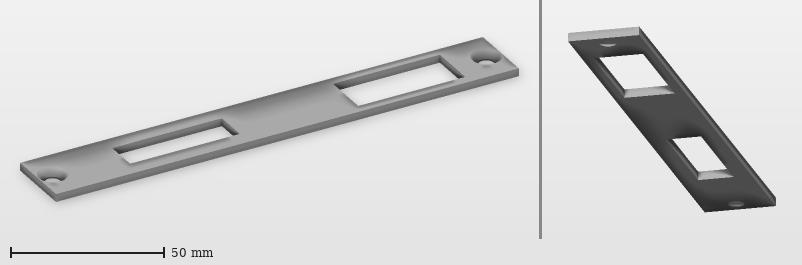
import cadquery as cq

plate_width = 24.0
plate_length = 173.0
plate_thickness = 3.0

upper_window_width = 17.0
upper_window_length = 40.0
upper_window_y = 48.5
lower_window_width = 12.0
lower_window_length = 41.0
lower_window_y = -35.0

screw_hole_diameter = 5.5
countersink_diameter = 10.4
countersink_angle = 90.0
countersink_end_gap = 0.26
screw_end_distance = countersink_end_gap + countersink_diameter / 2
screw_y = plate_length / 2 - screw_end_distance


def cut_window(body, width, length, center_y):
    """Cut a rectangular window through the full thickness."""
    return body.faces(">Z").workplane(origin=(0, 0, 0)).center(0, center_y).rect(width, length).cutThruAll()


plate = cq.Workplane("XY").box(plate_width, plate_length, plate_thickness)

plate = cut_window(plate, upper_window_width, upper_window_length, upper_window_y)
plate = cut_window(plate, lower_window_width, lower_window_length, lower_window_y)

plate = (
    plate.faces(">Z")
    .workplane(origin=(0, 0, 0))
    .pushPoints([(0, screw_y), (0, -screw_y)])
    .cskHole(screw_hole_diameter, countersink_diameter, countersink_angle)
)

result = plate